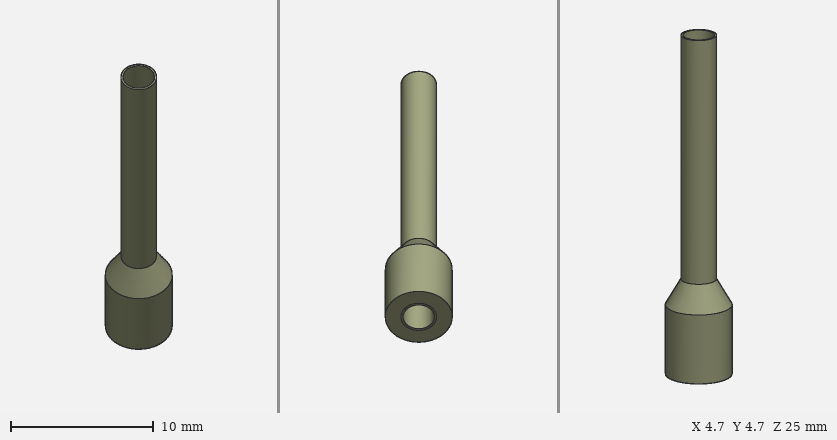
import cadquery as cq

total_length = 25.0
sleeve_diameter = 2.5
sleeve_wall = 0.15
collar_diameter = 4.7
collar_straight_height = 5.1
collar_height = 7.0

sleeve_radius = sleeve_diameter / 2
collar_radius = collar_diameter / 2
bore_radius = sleeve_radius - sleeve_wall


def make_sleeve():
    """Straight thin-walled tube over the full length."""
    return cq.Workplane("XY").circle(sleeve_radius).circle(bore_radius).extrude(total_length)


def make_collar():
    """Cylinder that tapers to the sleeve surface, with a through hole for the sleeve."""
    half_section = [
        (sleeve_radius, 0),
        (collar_radius, 0),
        (collar_radius, collar_straight_height),
        (sleeve_radius, collar_height),
    ]
    return cq.Workplane("XZ").polyline(half_section).close().revolve(360, (0, 0), (0, 1))


sleeve = make_sleeve()
collar = make_collar()

result = cq.Compound.makeCompound([sleeve.val(), collar.val()])